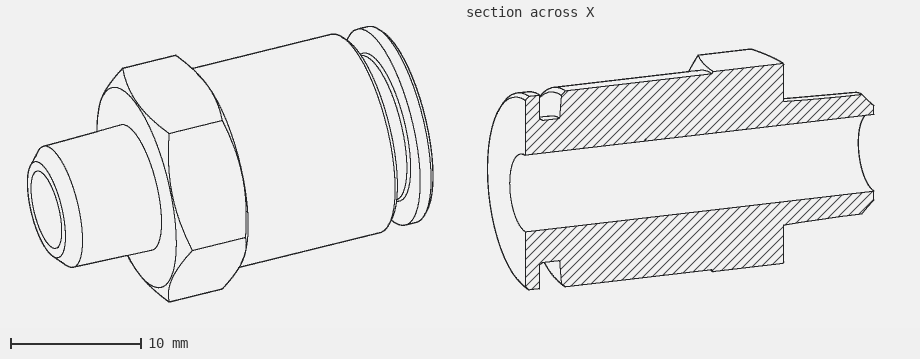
import cadquery as cq
import math


overall_length = 29.05
spigot_length = 7.5
hex_length = 6.0
hex_rear = spigot_length + hex_length
collar_thickness = 1.2
collar_underside = overall_length - collar_thickness
body_end = overall_length - 3.0

bore_diameter = 6.1
spigot_root_diameter = 9.92
spigot_front_diameter = 9.58
body_diameter = 15.7
neck_diameter = 11.4
collar_diameter = 15.5

hex_across_flats = 16.0
hex_front_circle = 15.8
hex_rear_circle = body_diameter
hex_chamfer_angle = 30

spigot_chamfer = 1.0
body_chamfer = 0.33
collar_chamfer = 0.3
body_end_rise = 0.15
neck_flare_length = 0.25
neck_flare_width = 0.15


def revolve_about_y(profile):
    """Turn a closed list of (radius, y) points about the Y axis."""
    return cq.Workplane("XY").polyline(profile).close().revolve(360, (0, 0, 0), (0, 1, 0))


def make_spigot():
    """Tapered spigot with a chamfered tip."""
    root_radius = spigot_root_diameter / 2
    front_radius = spigot_front_diameter / 2
    return revolve_about_y([
        (0, 0),
        (front_radius - spigot_chamfer, 0),
        (front_radius, spigot_chamfer),
        (root_radius, spigot_length),
        (0, spigot_length),
    ])


def make_hexagon():
    """Hexagon with two corners on the X axis and conical chamfers at both ends."""
    corner_diameter = hex_across_flats / math.cos(math.pi / 6)
    corner_radius = corner_diameter / 2
    prism = (
        cq.Workplane("XZ", origin=(0, hex_rear, 0))
        .polygon(6, corner_diameter)
        .extrude(hex_length)
    )
    slope = math.tan(math.radians(hex_chamfer_angle))
    front_radius = hex_front_circle / 2
    rear_radius = hex_rear_circle / 2
    envelope = revolve_about_y([
        (0, spigot_length),
        (front_radius, spigot_length),
        (corner_radius, spigot_length + (corner_radius - front_radius) * slope),
        (corner_radius, hex_rear - (corner_radius - rear_radius) * slope),
        (rear_radius, hex_rear),
        (0, hex_rear),
    ])
    return prism.intersect(envelope)


def make_body_and_collar():
    """Cylindrical body, narrow neck and release collar."""
    body_radius = body_diameter / 2
    neck_radius = neck_diameter / 2
    collar_radius = collar_diameter / 2
    return revolve_about_y([
        (0, hex_rear),
        (body_radius, hex_rear),
        (body_radius, body_end - body_chamfer),
        (body_radius - body_chamfer, body_end),
        (neck_radius, body_end + body_end_rise),
        (neck_radius, collar_underside - neck_flare_length),
        (neck_radius + neck_flare_width, collar_underside),
        (collar_radius, collar_underside),
        (collar_radius, overall_length - collar_chamfer),
        (collar_radius - collar_chamfer, overall_length),
        (0, overall_length),
    ])


def make_bore():
    """Flow passage through the whole length."""
    return (
        cq.Workplane("XZ", origin=(0, overall_length, 0))
        .circle(bore_diameter / 2)
        .extrude(overall_length)
    )


result = make_spigot().union(make_hexagon()).union(make_body_and_collar()).cut(make_bore())